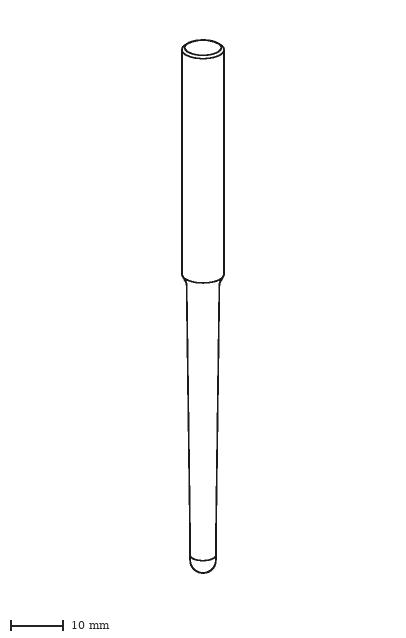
import cadquery as cq
import math

total_length = 110.0
shank_diameter = 8.0
top_chamfer_width = 0.5
top_chamfer_height = 0.4

ball_diameter = 5.0
tip_height = 3.5

taper_bottom = 6.5
taper_top = 60.1
taper_top_diameter = 6.3

blend_top = 61.2
blend_top_diameter = 6.7
shank_bottom = 62.5

ball_radius = ball_diameter / 2
shank_radius = shank_diameter / 2


def revolve_about_z(profile):
    """Turn a closed half-profile in the XZ plane into a solid of revolution."""
    return profile.revolve(360, (0, 0, 0), (0, 1, 0))


def make_tip():
    """Hemispherical end with a short land, closed by a flat top."""
    arc_offset = ball_radius * math.sqrt(0.5)
    profile = (
        cq.Workplane("XZ")
        .moveTo(0, 0)
        .threePointArc((arc_offset, ball_radius - arc_offset), (ball_radius, ball_radius))
        .lineTo(ball_radius, tip_height)
        .lineTo(0, tip_height)
        .close()
    )
    return revolve_about_z(profile)


def make_holder():
    """Neck, shoulder and chamfered shank, seated on the flat top of the tip."""
    profile = (
        cq.Workplane("XZ")
        .moveTo(0, tip_height)
        .lineTo(ball_radius, tip_height)
        .lineTo(ball_radius, taper_bottom)
        .lineTo(taper_top_diameter / 2, taper_top)
        .tangentArcPoint((blend_top_diameter / 2, blend_top), relative=False)
        .lineTo(shank_radius, shank_bottom)
        .lineTo(shank_radius, total_length - top_chamfer_height)
        .lineTo(shank_radius - top_chamfer_width, total_length)
        .lineTo(0, total_length)
        .close()
    )
    return revolve_about_z(profile)


tip = make_tip()
holder = make_holder()

result = cq.Compound.makeCompound([tip.val(), holder.val()])